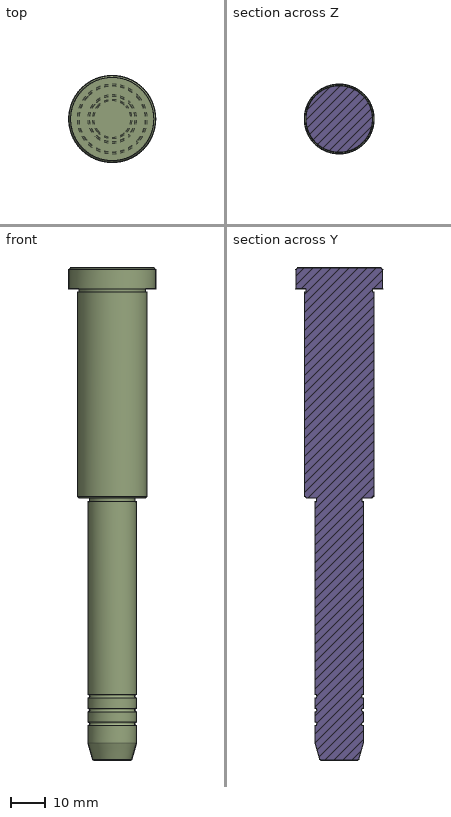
import cadquery as cq
import math

total_length = 141.0
head_height = 6.0
body_length = 59.9
head_bottom = total_length - head_height
body_bottom = head_bottom - body_length

head_radius = 25.0 / 2
body_radius = 20.0 / 2
shank_radius = 14.0 / 2

head_chamfer = 0.5
body_chamfer = 0.5
relief_depth = 0.4
head_relief_height = 0.8
shank_relief_height = 1.0

tip_height = 5.0
tip_angle = 16.0
tip_chamfer = 0.3
tip_radius = shank_radius - tip_height * math.tan(math.radians(tip_angle))

groove_count = 3
first_groove_height = 10.5
groove_pitch = 4.0
groove_width = 1.0


def cylinder(radius, bottom, top):
    return cq.Workplane("XY").workplane(offset=bottom).circle(radius).extrude(top - bottom)


def ring_cut(outer_radius, depth, bottom, height):
    """Ring that removes a shallow band from a cylinder."""
    outside = cylinder(outer_radius, bottom, bottom + height)
    inside = cylinder(outer_radius - depth, bottom, bottom + height)
    return outside.cut(inside)


def ring_torus(ring_radius, height, section_radius):
    """Torus around the axis, centred on a cylinder's surface to cut a half-round groove."""
    section = cq.Workplane("XZ").center(ring_radius, height).circle(section_radius)
    return section.revolve(360, (-ring_radius, 0), (-ring_radius, 1))


def make_head():
    head = cylinder(head_radius, head_bottom, total_length)
    return head.faces(">Z").edges().chamfer(head_chamfer)


def make_body():
    body = cylinder(body_radius, body_bottom, head_bottom)
    body = body.faces("<Z").edges().chamfer(body_chamfer)
    relief_bottom = head_bottom - head_relief_height
    return body.cut(ring_cut(body_radius, relief_depth, relief_bottom, head_relief_height))


def make_shank():
    shank = cylinder(shank_radius, tip_height, body_bottom)
    relief_bottom = body_bottom - shank_relief_height
    shank = shank.cut(ring_cut(shank_radius, relief_depth, relief_bottom, shank_relief_height))
    for index in range(groove_count):
        groove_height = first_groove_height + index * groove_pitch
        shank = shank.cut(ring_torus(shank_radius, groove_height, groove_width / 2))
    return shank


def make_tip():
    profile = [(0, 0), (tip_radius, 0), (shank_radius, tip_height), (0, tip_height)]
    tip = cq.Workplane("XZ").polyline(profile).close().revolve(360, (0, 0), (0, 1))
    return tip.faces("<Z").edges().chamfer(tip_chamfer)


result = make_head().union(make_body()).union(make_shank()).union(make_tip())